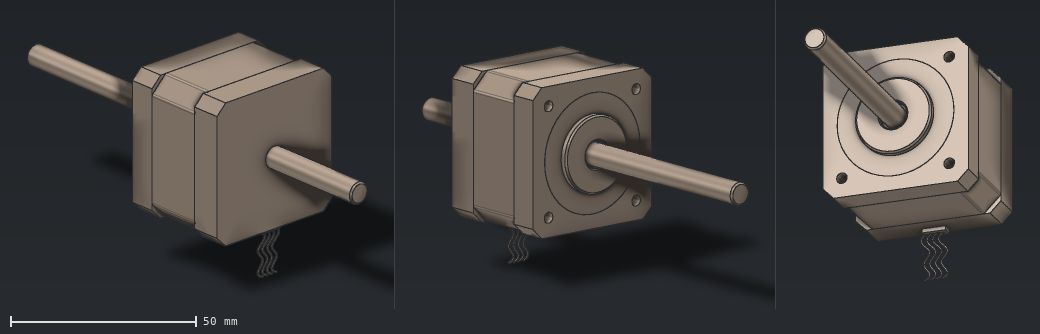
import cadquery as cq

front_shaft_length = 62.0
rear_shaft_length = 34.0
overall_length = 130.0
motor_length = overall_length - front_shaft_length - rear_shaft_length
front_cap_length = 7.9
rear_cap_length = 9.0
stack_length = motor_length - front_cap_length - rear_cap_length
stack_start = front_cap_length
rear_cap_start = stack_start + stack_length

motor_width = 42.0
cap_corner_chamfer = 3.1
stack_corner_chamfer = 5.0
stack_edge_fillet = 1.0

shaft_diameter = 6.5
shaft_end_chamfer = 0.5

pilot_diameter = 22.0
pilot_height = 2.0
pilot_chamfer = 0.5
clearance_diameter = 7.8
clearance_chamfer = 0.4
clearance_depth = pilot_height
face_recess_diameter = 33.7
face_recess_depth = 0.06
mount_hole_diameter = 3.0
mount_hole_spacing = 31.0

outlet_center_x = 31.0
outlet_length_x = 3.1
outlet_width_y = 6.8
outlet_height = 1.2

wire_count = 4
wire_pitch = 1.7
wire_diameter = 0.5
wire_start_drop = 0.9
wire_bottom_drop = 14.5
first_bend_drop = 3.5
bend_spacing = 3.1
bend_offsets = [1.5, -0.8, 0.9, -0.8]
wire_end_offset = 0.9

motor_bottom_z = -motor_width / 2


def cross_section(x):
    """Workplane normal to X at the given station, with local x along +Z."""
    return cq.Workplane(cq.Plane(origin=(x, 0, 0), xDir=(0, 0, 1), normal=(1, 0, 0)))


def cylinder(start_x, length, diameter):
    return cross_section(start_x).circle(diameter / 2).extrude(length)


def square_block(start_x, length, corner_chamfer):
    """Square block on the shaft axis with its four long corners chamfered."""
    block = cross_section(start_x).rect(motor_width, motor_width).extrude(length)
    return block.edges("|X").chamfer(corner_chamfer)


def make_shaft():
    shaft = cylinder(-front_shaft_length, overall_length, shaft_diameter)
    return shaft.faces("<X or >X").edges().chamfer(shaft_end_chamfer)


def make_front_cap(shaft):
    cap = square_block(0, front_cap_length, cap_corner_chamfer)
    cap = cap.cut(cylinder(0, face_recess_depth, face_recess_diameter))

    pilot = cylinder(-pilot_height, pilot_height + front_cap_length, pilot_diameter)
    pilot = pilot.faces("<X").edges().chamfer(pilot_chamfer)
    cap = cap.union(pilot)

    cap = cap.cut(cylinder(-pilot_height, clearance_depth, clearance_diameter))
    clearance_mouth = cap.faces("<X").edges(cq.selectors.RadiusNthSelector(0))
    cap = clearance_mouth.chamfer(clearance_chamfer)

    mount_holes = (
        cross_section(0)
        .rect(mount_hole_spacing, mount_hole_spacing, forConstruction=True)
        .vertices()
        .circle(mount_hole_diameter / 2)
        .extrude(front_cap_length)
    )
    return cap.cut(mount_holes).cut(shaft)


def make_stack(shaft):
    stack = square_block(stack_start, stack_length, stack_corner_chamfer)
    return stack.edges("|X").fillet(stack_edge_fillet).cut(shaft)


def make_wire(wire_y):
    """Round wire from inside the outlet down to its free end, waving along Y."""
    start = (outlet_center_x, wire_y, motor_bottom_z - wire_start_drop)
    bends = [
        (outlet_center_x, wire_y + offset, motor_bottom_z - first_bend_drop - i * bend_spacing)
        for i, offset in enumerate(bend_offsets)
    ]
    end = (outlet_center_x, wire_y + wire_end_offset, motor_bottom_z - wire_bottom_drop)
    path = cq.Workplane("XY").spline([start, *bends, end])
    profile_plane = cq.Plane(origin=start, xDir=(1, 0, 0), normal=path.val().tangentAt(0))
    return cq.Workplane(profile_plane).circle(wire_diameter / 2).sweep(path)


def make_rear_cap(shaft):
    """Rear cap in one piece with its cable outlet and wires."""
    cap = square_block(rear_cap_start, rear_cap_length, cap_corner_chamfer).cut(shaft)
    outlet = (
        cq.Workplane("XY", origin=(outlet_center_x, 0, motor_bottom_z))
        .rect(outlet_length_x, outlet_width_y)
        .extrude(-outlet_height)
    )
    cap = cap.union(outlet)
    for i in range(wire_count):
        wire_y = (i - (wire_count - 1) / 2) * wire_pitch
        cap = cap.union(make_wire(wire_y))
    return cap


shaft = make_shaft()
front_cap = make_front_cap(shaft)
stack = make_stack(shaft)
rear_cap = make_rear_cap(shaft)

result = cq.Compound.makeCompound([shaft.val(), front_cap.val(), stack.val(), rear_cap.val()])